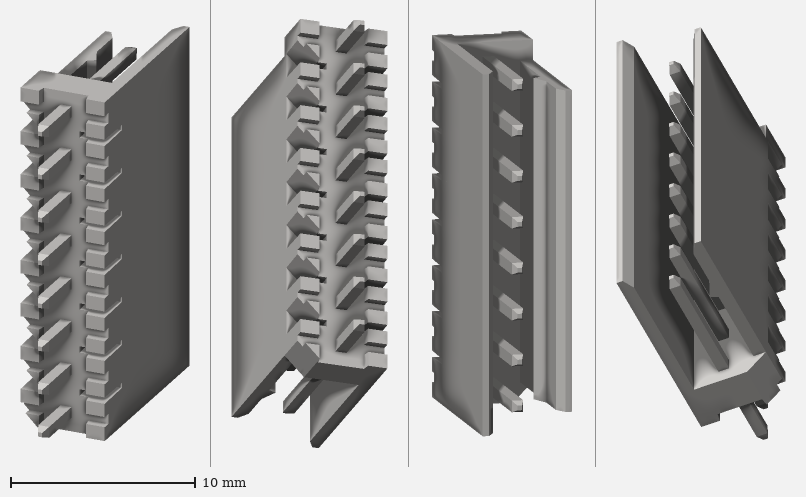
import cadquery as cq


total_height = 20.02
end_module_size = 3
single_module_count = 2
pin_count = 2 * end_module_size + single_module_count
end_margin = 1.12
pitch = (total_height - 2 * end_margin) / (pin_count - 1)

width = 5.0
half_width = width / 2
housing_length = 11.3
base_depth = 2.6
wall_thickness = 0.75
wall_tip_thickness = 0.36
wall_tip_length = 0.7

latch_start = 2.78
latch_peak = 3.85
latch_end = 4.06
latch_height = 0.45

pad_height = 0.48
pad_tip_width = 1.1
pad_root_width = 1.18
pad_gap = 0.6

slot_width = 0.38
slot_reach = 1.7
slot_depth = 2.3
slot_draft = 1.0
wedge_lift = 0.06
overcut = 0.2

pin_size = 0.65
pin_tip_size = 0.26
pin_tip_length = 0.5
pin_tail = 3.0
pin_length = 12.6

half_height = total_height / 2
pin_heights = [half_height - end_margin - i * pitch for i in range(pin_count)]
splits = [z - pitch / 2 for z in pin_heights[:-1]]


def box(x_range, y_range, z_range):
    """Box spanning the given (low, high) ranges."""
    spans = [high - low for low, high in (x_range, y_range, z_range)]
    corner = (x_range[0], y_range[0], z_range[0])
    return cq.Workplane("XY").box(*spans, centered=False).translate(corner)


def housing_bar(z_bottom, z_top):
    """Plain housing section: base, two walls, latch ridge and channel between the pads."""
    inner = half_width - wall_thickness
    tip = half_width - wall_tip_thickness
    tip_start = housing_length - wall_tip_length
    pad_tip = half_width - pad_tip_width
    pad_root = half_width - pad_root_width
    profile = [
        (-half_width, 0),
        (-half_width, housing_length),
        (-tip, housing_length),
        (-inner, tip_start),
        (-inner, housing_length - latch_start),
        (-inner + latch_height, housing_length - latch_peak),
        (-inner, housing_length - latch_end),
        (-inner, base_depth),
        (inner, base_depth),
        (inner, tip_start),
        (tip, housing_length),
        (half_width, housing_length),
        (half_width, 0),
        (pad_tip, 0),
        (pad_root, pad_height),
        (-pad_root, pad_height),
        (-pad_tip, 0),
    ]
    bar = cq.Workplane("XY").polyline(profile).close().extrude(z_top - z_bottom)
    return bar.translate((0, 0, z_bottom))


def pad_split(pin_z):
    """Cutter for the gap that splits the pads level with a pin."""
    return box(
        (-half_width, half_width),
        (0, pad_height),
        (pin_z - pad_gap / 2, pin_z + pad_gap / 2),
    )


def side_slots(pin_z):
    """Cutter for the pair of slots below a pin; the -X one opens upwards along a 45 degree face."""
    middle = pin_z - pitch / 2
    top = middle + slot_width / 2
    bottom = middle - slot_width / 2
    outside = half_width + overcut
    slope_start = pin_z + wedge_lift
    slope_end = half_width - (slope_start - top)
    outline = [
        (-outside, slope_start + overcut),
        (-slope_end, top),
        (outside, top),
        (outside, bottom),
        (-outside, bottom),
    ]
    full_width_slot = cq.Workplane("XZ").polyline(outline).close().extrude(-slot_depth, taper=slot_draft)
    core_half_width = half_width - slot_reach
    core = box((-core_half_width, core_half_width), (0, slot_depth), (bottom, top))
    return full_width_slot.cut(core)


def pin(pin_z):
    """Square pin along Y with a pyramid-shaped tip at each end."""
    shaft_start = pin_tip_length - pin_tail
    shaft_end = pin_length - pin_tail - pin_tip_length
    half_pin = pin_size / 2
    shaft = box((-half_pin, half_pin), (shaft_start, shaft_end), (pin_z - half_pin, pin_z + half_pin))

    def tip(face):
        return (
            shaft.faces(face)
            .workplane(centerOption="CenterOfBoundBox")
            .rect(pin_size, pin_size)
            .workplane(offset=pin_tip_length)
            .rect(pin_tip_size, pin_tip_size)
            .loft(combine=False)
        )

    return shaft.union(tip("<Y")).union(tip(">Y"))


def wall_end_trim(z_low):
    """Cutter that shortens the -X wall and its latch by the end margin, leaving the base whole."""
    return box(
        (-half_width, -half_width + wall_thickness + latch_height),
        (base_depth, housing_length),
        (z_low, z_low + end_margin),
    )


def corner_chamfer():
    """Cutter for the 45 degree corner at the lower -X edge of the base."""
    z_bottom = -half_height
    outline = [
        (-half_width, z_bottom),
        (-half_width, z_bottom + end_margin),
        (-half_width + end_margin, z_bottom),
    ]
    return cq.Workplane("XZ").polyline(outline).close().extrude(-base_depth)


def module(z_bottom, z_top):
    """Housing section with one-piece pins, holding every position between the two heights."""
    own_pins = [z for z in pin_heights if z_bottom < z < z_top]
    body = housing_bar(z_bottom, z_top)
    for pin_z in own_pins:
        body = body.cut(pad_split(pin_z))
    for pin_z in pin_heights[:-1]:
        if z_bottom < pin_z < z_top + pitch:
            body = body.cut(side_slots(pin_z))
    for pin_z in own_pins:
        body = body.union(pin(pin_z))
    return body


def upper_module():
    """Three-position module at the top, with its -X wall shortened at the upper end."""
    body = module(splits[end_module_size - 1], half_height)
    return body.cut(wall_end_trim(half_height - end_margin))


def single_module(index):
    """One-position module; index 0 lies directly below the upper module."""
    split = end_module_size - 1 + index
    return module(splits[split + 1], splits[split])


def lower_module():
    """Three-position module at the bottom, with a shortened -X wall and a chamfered corner."""
    body = module(-half_height, splits[-end_module_size])
    return body.cut(wall_end_trim(-half_height)).cut(corner_chamfer())


upper = upper_module()
singles = [single_module(i) for i in range(single_module_count)]
lower = lower_module()

result = cq.Compound.makeCompound([upper.val(), *[single.val() for single in singles], lower.val()])